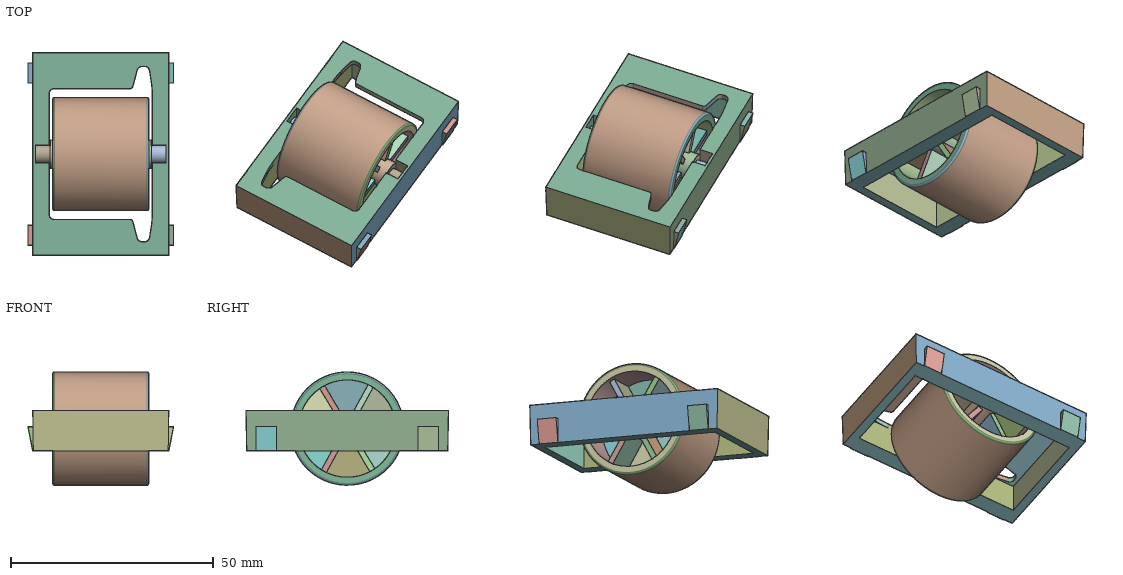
import cadquery as cq
import math

FRAME_WIDTH = 33.6
FRAME_LENGTH = 50.0
FRAME_HEIGHT = 10.0
FRAME_TOP = 4.5
FRAME_BOTTOM = FRAME_TOP - FRAME_HEIGHT
FRAME_DRAFT_ANGLE = 1.0

WINDOW_HALF_WIDTH = 12.7
WINDOW_HALF_LENGTH = 16.1
NOTCH_TIP_Y = 21.6
NOTCH_BASE_X = 7.8
NOTCH_TIP_INNER_X = 9.25
NOTCH_TIP_OUTER_X = 11.85
WINDOW_HALF_OUTLINE = [
    (-WINDOW_HALF_WIDTH, WINDOW_HALF_LENGTH),
    (NOTCH_BASE_X, WINDOW_HALF_LENGTH),
    (NOTCH_TIP_INNER_X, NOTCH_TIP_Y),
    (NOTCH_TIP_OUTER_X, NOTCH_TIP_Y),
    (WINDOW_HALF_WIDTH, WINDOW_HALF_LENGTH),
]
WINDOW_CORNER_RADII = [1.2, 0.8, 1.2, 1.2, 24.0]

TOP_PLATE_THICKNESS = 1.5
CAVITY_HALF_LENGTH = 22.6

AXLE_RADIUS = 2.1
AXLE_HALF_LENGTH = 16.1
SLOT_RADIUS = 2.25

WHEEL_RADIUS = 14.0
WHEEL_WIDTH = 23.7
WHEEL_EDGE_RADIUS = 0.45
RIM_INNER_RADIUS = 12.0
HUB_RADIUS = 3.5
HUB_LENGTH = 25.0
WEB_THICKNESS = 2.0
SPOKE_COUNT = 6
SPOKE_THICKNESS = 1.4
SPOKE_RECESS = 1.65
SPOKE_START_ANGLE = 1.2

OVERALL_WIDTH = 36.0
CLIP_LENGTH = 5.0
CLIP_HEIGHT = 6.0
CLIP_CENTER_Y = 20.0


def x_cylinder(radius, length):
    """Cylinder centred on the origin with its axis along X."""
    return cq.Workplane("YZ", origin=(-length / 2, 0, 0)).circle(radius).extrude(length)


def make_window():
    """Cutter for the notched window in the top plate and the plain cavity below it."""
    plate_bottom = FRAME_TOP - TOP_PLATE_THICKNESS
    plate_middle = FRAME_TOP - TOP_PLATE_THICKNESS / 2
    mirrored_outline = [(x, -y) for x, y in reversed(WINDOW_HALF_OUTLINE)]
    window = (
        cq.Workplane("XY", origin=(0, 0, plate_bottom))
        .polyline(WINDOW_HALF_OUTLINE + mirrored_outline)
        .close()
        .extrude(TOP_PLATE_THICKNESS)
    )
    for (x, y), radius in zip(WINDOW_HALF_OUTLINE, WINDOW_CORNER_RADII):
        for side in (1, -1):
            corner = cq.selectors.NearestToPointSelector((x, side * y, plate_middle))
            window = window.edges("|Z").edges(corner).fillet(radius)
    cavity = cq.Workplane("XY", origin=(0, 0, FRAME_BOTTOM)).box(
        2 * WINDOW_HALF_WIDTH,
        2 * CAVITY_HALF_LENGTH,
        FRAME_HEIGHT - TOP_PLATE_THICKNESS,
        centered=(True, True, False),
    )
    return window.union(cavity)


def make_axle_slot():
    """Cutter for the round-bottomed slots, open at the top of the frame."""
    upper_part = cq.Workplane("XY").box(
        2 * AXLE_HALF_LENGTH, 2 * SLOT_RADIUS, FRAME_TOP, centered=(True, True, False)
    )
    return x_cylinder(SLOT_RADIUS, 2 * AXLE_HALF_LENGTH).union(upper_part)


def make_frame():
    """Block that narrows toward its bottom, with window, cavity and axle slots cut."""
    block = (
        cq.Workplane("XY", origin=(0, 0, FRAME_TOP))
        .rect(FRAME_WIDTH, FRAME_LENGTH)
        .extrude(-FRAME_HEIGHT, taper=FRAME_DRAFT_ANGLE)
    )
    return block.cut(make_window()).cut(make_axle_slot())


def make_clip(x_side, y_center):
    """Wedge that widens upward from the bottom edge of the frame's side."""
    root_x = FRAME_WIDTH / 2 - FRAME_HEIGHT * math.tan(math.radians(FRAME_DRAFT_ANGLE))
    outline = [
        (x_side * root_x, FRAME_BOTTOM),
        (x_side * FRAME_WIDTH / 2, FRAME_BOTTOM),
        (x_side * OVERALL_WIDTH / 2, FRAME_BOTTOM + CLIP_HEIGHT),
        (x_side * root_x, FRAME_BOTTOM + CLIP_HEIGHT),
    ]
    return (
        cq.Workplane("XZ", origin=(0, y_center, 0))
        .polyline(outline)
        .close()
        .extrude(CLIP_LENGTH / 2, both=True)
    )


def make_wheel():
    """Rim, central web, hub and spokes."""
    wheel = x_cylinder(WHEEL_RADIUS, WHEEL_WIDTH).edges().fillet(WHEEL_EDGE_RADIUS)
    wheel = wheel.cut(x_cylinder(RIM_INNER_RADIUS, WHEEL_WIDTH))
    wheel = wheel.union(x_cylinder(RIM_INNER_RADIUS, WEB_THICKNESS))
    wheel = wheel.union(x_cylinder(HUB_RADIUS, HUB_LENGTH))
    spoke_width = WHEEL_WIDTH - 2 * SPOKE_RECESS
    spoke_end = (RIM_INNER_RADIUS + WHEEL_RADIUS) / 2
    for index in range(SPOKE_COUNT):
        angle = SPOKE_START_ANGLE + index * 360 / SPOKE_COUNT
        spoke = (
            cq.Workplane("XY")
            .box(spoke_width, spoke_end, SPOKE_THICKNESS, centered=(True, False, True))
            .rotate((0, 0, 0), (1, 0, 0), angle)
        )
        wheel = wheel.union(spoke)
    return wheel


result = make_frame()
for clip_x_side in (1, -1):
    for clip_y in (CLIP_CENTER_Y, -CLIP_CENTER_Y):
        result = result.union(make_clip(clip_x_side, clip_y))

result = result.union(make_wheel()).union(x_cylinder(AXLE_RADIUS, 2 * AXLE_HALF_LENGTH))